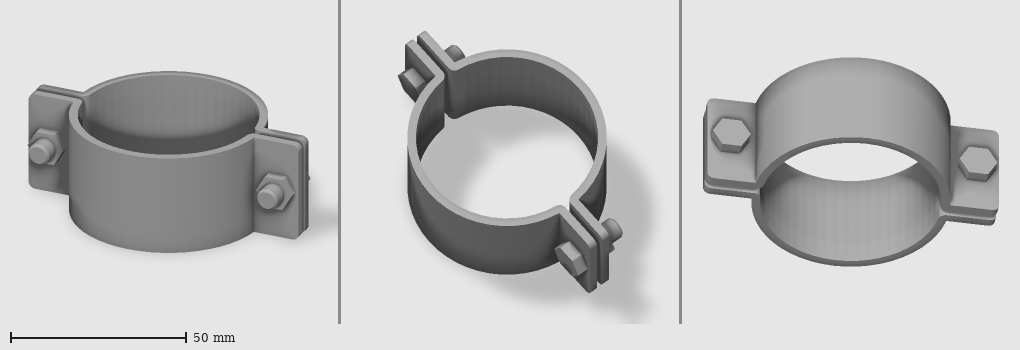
import cadquery as cq
import math

outer_radius = 28.5
thickness = 2.5
width = 30.0
gap = 2.0
flange_length = 14.0
corner_radius = 2.0
bend_radius = 2.2

bolt_inset = 6.5
bolt_diameter = 6.5
bolt_length = 15.0
tip_chamfer = 0.65
hex_across_corners = 11.0
head_height = 3.5
nut_height = 3.0

inner_radius = outer_radius - thickness
flange_inner_y = gap / 2
flange_outer_y = flange_inner_y + thickness
inner_x = math.sqrt(inner_radius**2 - flange_inner_y**2)
outer_x = math.sqrt(outer_radius**2 - flange_outer_y**2)

half_length = outer_x + flange_length
bolt_x = half_length - bolt_inset
bolt_positions = [-bolt_x, bolt_x]


def half_profile():
    """Outline of the half on the +Y side: an arched band with a flange at each end."""
    return (
        cq.Workplane("XY")
        .moveTo(-half_length, flange_inner_y)
        .lineTo(-half_length, flange_outer_y)
        .lineTo(-outer_x, flange_outer_y)
        .threePointArc((0, outer_radius), (outer_x, flange_outer_y))
        .lineTo(half_length, flange_outer_y)
        .lineTo(half_length, flange_inner_y)
        .lineTo(inner_x, flange_inner_y)
        .threePointArc((0, inner_radius), (-inner_x, flange_inner_y))
        .lineTo(-half_length, flange_inner_y)
        .close()
    )


def cylinder_along_y(x, diameter, start_y, end_y):
    """Round rod parallel to Y, at mid-width of the clamp."""
    return (
        cq.Workplane("XZ", origin=(x, end_y, 0))
        .circle(diameter / 2)
        .extrude(end_y - start_y)
    )


def hexagon_along_y(x, start_y, end_y):
    """Hexagonal prism parallel to Y with its corners pointing along X."""
    return (
        cq.Workplane("XZ", origin=(x, end_y, 0))
        .polygon(6, hex_across_corners)
        .extrude(end_y - start_y)
    )


def make_half():
    """Half clamp on the +Y side, with bolt holes through its flanges."""
    half = half_profile().extrude(width / 2, both=True)

    bend_box = cq.selectors.BoxSelector(
        (-inner_radius, 0, -width),
        (inner_radius, flange_outer_y, width),
    )
    half = half.edges("|Z").edges(bend_box).fillet(bend_radius)

    half = half.faces("<X or >X").edges("|Y").fillet(corner_radius)

    for x in bolt_positions:
        half = half.cut(cylinder_along_y(x, bolt_diameter, flange_inner_y, flange_outer_y))
    return half


def make_bolt(x):
    """Bolt with its head on the +Y flange and its nut on the -Y flange."""
    head_top_y = flange_outer_y + head_height
    tip_y = flange_outer_y - bolt_length
    nut_end_y = -flange_outer_y - nut_height
    shank = cylinder_along_y(x, bolt_diameter, tip_y, head_top_y)
    shank = shank.faces("<Y").chamfer(tip_chamfer)
    head = hexagon_along_y(x, flange_outer_y, head_top_y)
    nut = hexagon_along_y(x, nut_end_y, -flange_outer_y)
    return shank.union(head).union(nut)


back_half = make_half()
front_half = back_half.mirror("XZ")
bolts = [make_bolt(x) for x in bolt_positions]

result = cq.Compound.makeCompound(
    [back_half.val(), front_half.val(), *[bolt.val() for bolt in bolts]]
)